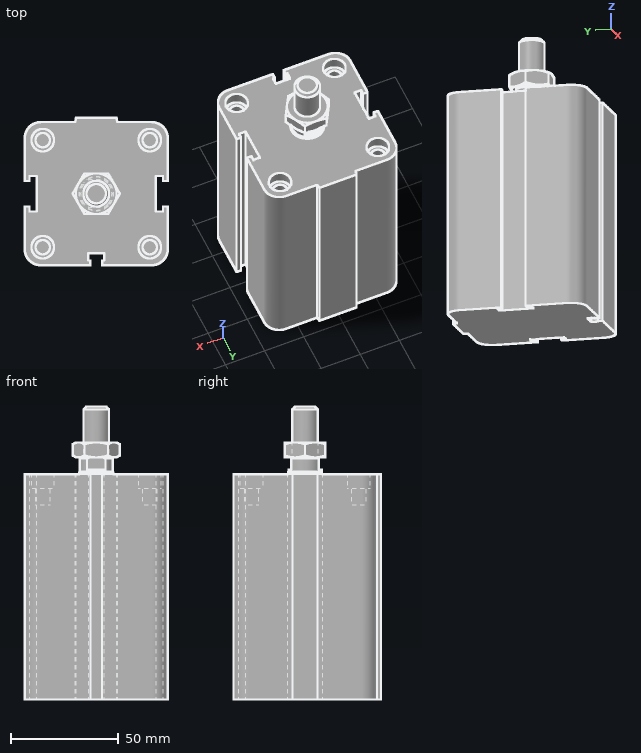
import cadquery as cq
import math


total_height = 137.0
side = 67.0
half_side = side / 2
housing_height = 105.4
corner_radius = 7.7

rib_height = 2.0
rib_base_width = 19.7
rib_top_width = 19.0

slot_depth = 5.6
slot_lip = 2.3
side_mouth_width = 11.8
side_channel_width = 16.5
front_mouth_width = 5.5
front_channel_width = 7.3

hole_spacing = 50.0
counterbore_diameter = 10.5
counterbore_depth = 6.7
core_hole_diameter = 6.7
core_hole_depth = 14.4

collar_diameter = 16.0
collar_height = 1.1
collar_taper_height = 0.4
shank_diameter = 15.6
shank_top = 113.2
shank_chamfer = 0.5
flats_width = 13.0
flats_bottom = 107.5
thread_diameter = 12.0
tip_chamfer = 1.5

nut_height = 7.0
nut_across_flats = 19.0
nut_across_corners = nut_across_flats / math.cos(math.pi / 6)
nut_chamfer_angle = math.radians(30)


def t_slot(mouth_width, channel_width):
    """T-slot cutter for the -Y face, running the full housing height."""
    mouth = cq.Workplane("XY").box(
        mouth_width, slot_depth, housing_height, centered=(True, False, False)
    )
    channel = (
        cq.Workplane("XY")
        .box(channel_width, slot_depth - slot_lip, housing_height, centered=(True, False, False))
        .translate((0, slot_lip, 0))
    )
    return mouth.union(channel).translate((0, -half_side, 0))


def rib():
    """Tapered rib on the +Y face."""
    return (
        cq.Workplane("XY")
        .polyline([
            (-rib_base_width / 2, half_side),
            (-rib_top_width / 2, half_side + rib_height),
            (rib_top_width / 2, half_side + rib_height),
            (rib_base_width / 2, half_side),
        ])
        .close()
        .extrude(housing_height)
    )


def make_housing():
    body = (
        cq.Workplane("XY")
        .box(side, side, housing_height, centered=(True, True, False))
        .edges("|Z")
        .fillet(corner_radius)
        .union(rib())
    )
    body = body.cut(t_slot(front_mouth_width, front_channel_width))
    side_slot = t_slot(side_mouth_width, side_channel_width)
    for angle in (-90, 90):
        body = body.cut(side_slot.rotate((0, 0, 0), (0, 0, 1), angle))
    return (
        body.faces(">Z")
        .workplane(origin=(0, 0, housing_height))
        .rarray(hole_spacing, hole_spacing, 2, 2)
        .cboreHole(core_hole_diameter, counterbore_diameter, counterbore_depth, core_hole_depth)
    )


def cylinder(diameter, bottom, top):
    """Upright cylinder on the rod axis between two heights."""
    return cq.Workplane("XY").workplane(offset=bottom).circle(diameter / 2).extrude(top - bottom)


def make_rod():
    collar_top = housing_height + collar_height
    collar = cylinder(collar_diameter, housing_height, collar_top)
    collar = collar.faces(">Z").chamfer(collar_taper_height, (collar_diameter - shank_diameter) / 2)
    shank = cylinder(shank_diameter, collar_top, shank_top)
    shank = shank.faces(">Z").chamfer(shank_chamfer)
    thread = cylinder(thread_diameter, shank_top, total_height)
    thread = thread.faces(">Z").chamfer(tip_chamfer)
    flats_height = shank_top - flats_bottom
    between_flats = (
        cq.Workplane("XY")
        .workplane(offset=flats_bottom)
        .rect(shank_diameter, flats_width)
        .extrude(flats_height)
    )
    flats_waste = cylinder(shank_diameter, flats_bottom, shank_top).cut(between_flats)
    return collar.union(shank.cut(flats_waste)).union(thread)


def make_nut():
    hexagon = cq.Workplane("XY").polygon(6, nut_across_corners).extrude(nut_height)
    face_radius = nut_across_flats / 2
    corner_reach = nut_across_corners / 2
    bevel = (corner_reach - face_radius) * math.tan(nut_chamfer_angle)
    envelope = (
        cq.Workplane("XZ")
        .polyline([
            (0, 0),
            (face_radius, 0),
            (corner_reach, bevel),
            (corner_reach, nut_height - bevel),
            (face_radius, nut_height),
            (0, nut_height),
        ])
        .close()
        .revolve(360, (0, 0, 0), (0, 1, 0))
    )
    bore = cylinder(thread_diameter, 0, nut_height)
    return hexagon.intersect(envelope).cut(bore).translate((0, 0, shank_top))


housing = make_housing()
rod = make_rod()
nut = make_nut()

result = cq.Compound.makeCompound([housing.val(), rod.val(), nut.val()])